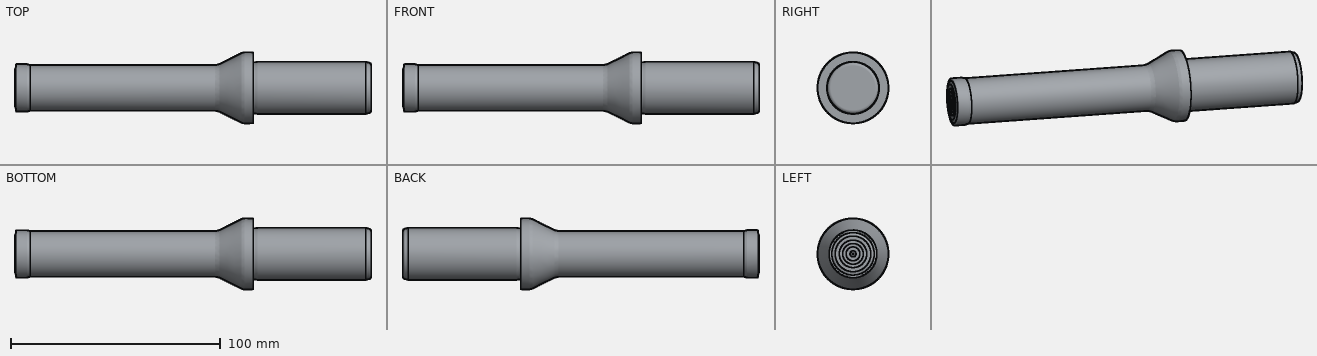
import cadquery as cq
import math

TOTAL_LENGTH = 170.0

TIP_DIAMETER = 22.8
TIP_LAND_END = 5.8
TIP_LENGTH = 7.3
TIP_EDGE_RADIUS = 0.5
TIP_STEP_HEIGHT = 0.6
RAISED_FACE_DIAMETER = 17.0
RAISED_BASE_DIAMETER = 20.2
CENTRE_MARK_DIAMETER = 0.7
FACE_GROOVES = [(2.9, 6.6), (9.9, 13.1)]
FACE_GROOVE_DEPTH = 0.3

STEM_DIAMETER = 22.0
CONE_START = 96.7
CONE_END = 108.8
CONE_ROOT_RADIUS = 4.8
CONE_RIM_RADIUS = 3.4
FLANGE_DIAMETER = 34.0
FLANGE_BACK = 113.7
FLANGE_BEVEL_LENGTH = 0.7
FLANGE_BEVEL_DEPTH = 0.2

RELIEF_DIAMETER = 24.5
RELIEF_END = 114.5
SHANK_DIAMETER = 25.0
SHANK_LEAD_END = 115.8
SHANK_END_RADIUS = 1.5
SHANK_TAPER_LENGTH = 1.0
SHANK_TAPER_DEPTH = 0.3


def revolve_about_x(profile):
    return profile.close().revolve(360, (0, 0, 0), (1, 0, 0))


def edges_at(body, x, diameter):
    """Select the circular edges at one station and diameter."""
    radius = diameter / 2
    margin = 0.02
    box = cq.selectors.BoxSelector(
        (x - margin, -radius - margin, -radius - margin),
        (x + margin, radius + margin, radius + margin),
        boundingbox=True,
    )
    return body.edges(box)


def make_face_groove(inner_diameter, outer_diameter):
    return (
        cq.Workplane("YZ")
        .circle(outer_diameter / 2)
        .circle(inner_diameter / 2)
        .extrude(FACE_GROOVE_DEPTH)
    )


def make_tip():
    tip = revolve_about_x(
        cq.Workplane("XY")
        .moveTo(TIP_STEP_HEIGHT, 0)
        .lineTo(TIP_STEP_HEIGHT, TIP_DIAMETER / 2)
        .lineTo(TIP_LAND_END, TIP_DIAMETER / 2)
        .lineTo(TIP_LENGTH, STEM_DIAMETER / 2)
        .lineTo(TIP_LENGTH, 0)
    )
    tip = edges_at(tip, TIP_STEP_HEIGHT, TIP_DIAMETER).fillet(TIP_EDGE_RADIUS)
    raised_face = revolve_about_x(
        cq.Workplane("XY")
        .lineTo(0, RAISED_FACE_DIAMETER / 2)
        .lineTo(TIP_STEP_HEIGHT, RAISED_BASE_DIAMETER / 2)
        .lineTo(TIP_STEP_HEIGHT, 0)
    )
    tip = tip.union(raised_face)
    for inner_diameter, outer_diameter in FACE_GROOVES:
        tip = tip.cut(make_face_groove(inner_diameter, outer_diameter))
    centre_mark = cq.Workplane("YZ").circle(CENTRE_MARK_DIAMETER / 2).extrude(FACE_GROOVE_DEPTH)
    return tip.cut(centre_mark)


def make_holder():
    taper_end = TOTAL_LENGTH - SHANK_END_RADIUS
    taper_start = taper_end - SHANK_TAPER_LENGTH
    end_radius = SHANK_DIAMETER / 2 - SHANK_TAPER_DEPTH
    arc_offset = SHANK_END_RADIUS * math.sqrt(0.5)
    arc_centre_radius = end_radius - SHANK_END_RADIUS
    holder = revolve_about_x(
        cq.Workplane("XY")
        .moveTo(TIP_LENGTH, 0)
        .lineTo(TIP_LENGTH, STEM_DIAMETER / 2)
        .lineTo(CONE_START, STEM_DIAMETER / 2)
        .lineTo(CONE_END, FLANGE_DIAMETER / 2)
        .lineTo(FLANGE_BACK - FLANGE_BEVEL_LENGTH, FLANGE_DIAMETER / 2)
        .lineTo(FLANGE_BACK, FLANGE_DIAMETER / 2 - FLANGE_BEVEL_DEPTH)
        .lineTo(FLANGE_BACK, RELIEF_DIAMETER / 2)
        .lineTo(RELIEF_END, RELIEF_DIAMETER / 2)
        .lineTo(SHANK_LEAD_END, SHANK_DIAMETER / 2)
        .lineTo(taper_start, SHANK_DIAMETER / 2)
        .lineTo(taper_end, end_radius)
        .threePointArc(
            (taper_end + arc_offset, arc_centre_radius + arc_offset),
            (TOTAL_LENGTH, arc_centre_radius),
        )
        .lineTo(TOTAL_LENGTH, 0)
    )
    holder = edges_at(holder, CONE_START, STEM_DIAMETER).fillet(CONE_ROOT_RADIUS)
    return edges_at(holder, CONE_END, FLANGE_DIAMETER).fillet(CONE_RIM_RADIUS)


tip = make_tip()
holder = make_holder()
result = cq.Compound.makeCompound([tip.val(), holder.val()])